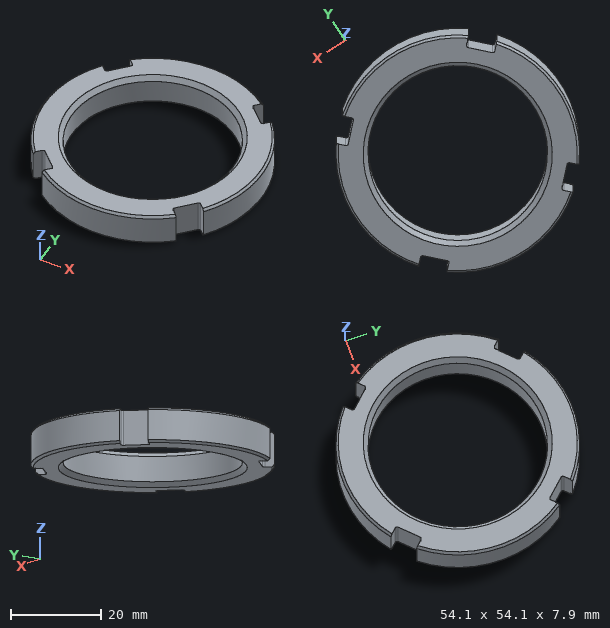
import cadquery as cq

outer_diameter = 54.1
thickness = 7.9
bore_diameter = 39.75
edge_chamfer = 0.55
bore_chamfer = 1.1

slot_count = 4
first_slot_angle = 45.0
slot_width = 6.4
slot_floor_radius = 24.25
floor_fillet = 0.5


def make_ring():
    """Flat ring with chamfered outer edges and a chamfered bore."""
    blank = (
        cq.Workplane("XY")
        .circle(outer_diameter / 2)
        .extrude(thickness)
        .faces("<Z or >Z")
        .chamfer(edge_chamfer)
    )
    bored = blank.cut(cq.Workplane("XY").circle(bore_diameter / 2).extrude(thickness))
    bore_edges = cq.selectors.RadiusNthSelector(0)
    return bored.faces("<Z or >Z").edges(bore_edges).chamfer(bore_chamfer)


def make_slot_cutter(angle):
    """Block that opens through the rim, with rounded corners along its floor."""
    length = outer_diameter / 2
    return (
        cq.Workplane("XY")
        .center(slot_floor_radius + length / 2, 0)
        .rect(length, slot_width)
        .extrude(thickness)
        .edges("|Z and <X")
        .fillet(floor_fillet)
        .rotate((0, 0, 0), (0, 0, 1), angle)
    )


result = make_ring()
for index in range(slot_count):
    slot_angle = first_slot_angle + index * 360 / slot_count
    result = result.cut(make_slot_cutter(slot_angle))